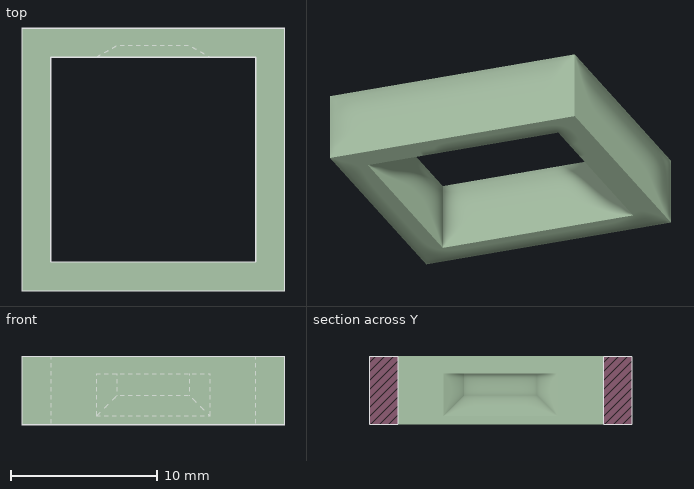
import cadquery as cq

side = 18.0
height = 4.7
wall = 2.0
opening = side - 2 * wall

mouth_width = 7.8
mouth_height = 2.9
mouth_bottom = 0.6
depth = 0.8
side_taper = 1.4
floor_rise = 1.4
back_width = mouth_width - 2 * side_taper
back_height = mouth_height - floor_rise

frame = cq.Workplane("XY").rect(side, side).rect(opening, opening).extrude(height)

mouth_top = mouth_bottom + mouth_height
mouth_plane = cq.Plane(origin=(0, opening / 2, mouth_top), xDir=(-1, 0, 0), normal=(0, 1, 0))
recess = (
    cq.Workplane(mouth_plane)
    .center(0, -mouth_height / 2)
    .rect(mouth_width, mouth_height)
    .workplane(offset=depth)
    .center(0, floor_rise / 2)
    .rect(back_width, back_height)
    .loft(ruled=True, combine=True)
)

result = frame.cut(recess)